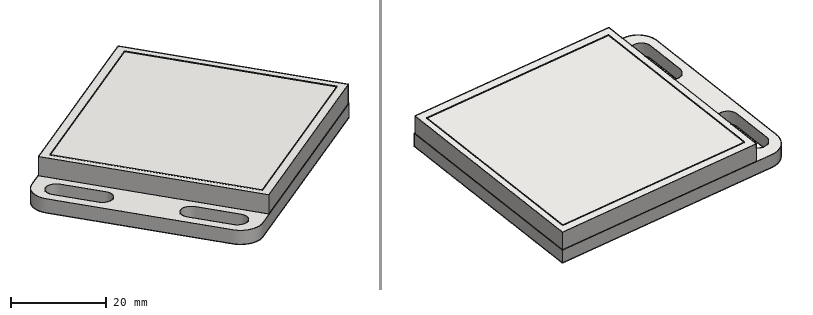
import cadquery as cq

housing_size = 51.2
overall_height = 8.0

ledge = 0.1
flange_length = 9.0
plate_thickness = 3.4
corner_radius = 5.0

plate_width = housing_size + 2 * ledge
plate_length = flange_length + housing_size + ledge
housing_height = overall_height - plate_thickness

side_rim = 2.0
end_rim = 1.6
recess_depth = 0.2

recess_width = housing_size - 2 * side_rim
recess_length = housing_size - 2 * end_rim

slot_length = 15.0
slot_width = 4.8
slot_spacing = 30.0
slot_edge_distance = 4.6

plate_front = -plate_length / 2
housing_center_y = plate_front + flange_length + housing_size / 2
slot_center_y = plate_front + slot_edge_distance


def make_plate():
    """Flat plate with its two front corners rounded."""
    plate = cq.Workplane("XY").box(
        plate_width, plate_length, plate_thickness, centered=(True, True, False)
    )
    return plate.edges("|Z and <Y").fillet(corner_radius)


def make_housing():
    """Square block standing on the plate, just inside its side and rear edges."""
    return (
        cq.Workplane("XY", origin=(0, housing_center_y, plate_thickness))
        .rect(housing_size, housing_size)
        .extrude(housing_height)
    )


def make_recess():
    """Volume of the shallow pocket centred on the housing top."""
    return (
        cq.Workplane("XY", origin=(0, housing_center_y, overall_height))
        .rect(recess_width, recess_length)
        .extrude(-recess_depth)
    )


def make_slots():
    """Volume of the two round-ended through slots, one on each side of the centreline."""
    return (
        cq.Workplane("XY", origin=(0, slot_center_y, 0))
        .pushPoints([(-slot_spacing / 2, 0), (slot_spacing / 2, 0)])
        .slot2D(slot_length, slot_width)
        .extrude(plate_thickness)
    )


result = make_plate().union(make_housing()).cut(make_recess()).cut(make_slots())